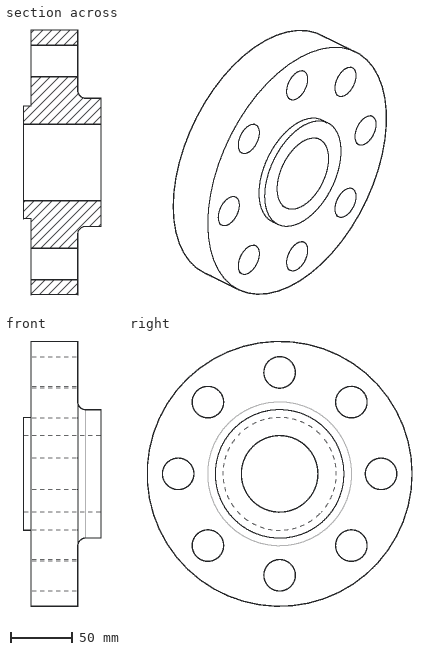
import cadquery as cq

flange_diameter = 216.0
flange_thickness = 38.2
bore_diameter = 62.2

face_diameter = 92.2
face_height = 6.3

hub_diameter = 104.7
hub_length = 19.0
hub_fillet = 6.3

bolt_count = 8
bolt_circle_diameter = 165.2
bolt_hole_diameter = 25.5

total_length = face_height + flange_thickness + hub_length
flange_back = face_height + flange_thickness


def disc(start, length, diameter):
    """Solid disc on the X axis, extending from start toward +X."""
    return cq.Workplane("YZ", origin=(start, 0, 0)).circle(diameter / 2).extrude(length)


flange = disc(face_height, flange_thickness, flange_diameter)
hub = disc(flange_back, hub_length, hub_diameter)
body = flange.union(hub)
hub_root = cq.selectors.RadiusNthSelector(0)
body = body.faces(cq.selectors.NearestToPointSelector((flange_back, flange_diameter / 3, 0)))
body = body.edges(hub_root).fillet(hub_fillet)

body = body.union(disc(0, face_height, face_diameter))

bore = disc(0, total_length, bore_diameter)
bolt_holes = (
    cq.Workplane("YZ")
    .polarArray(bolt_circle_diameter / 2, 0, 360, bolt_count)
    .circle(bolt_hole_diameter / 2)
    .extrude(total_length)
)

result = body.cut(bore).cut(bolt_holes)